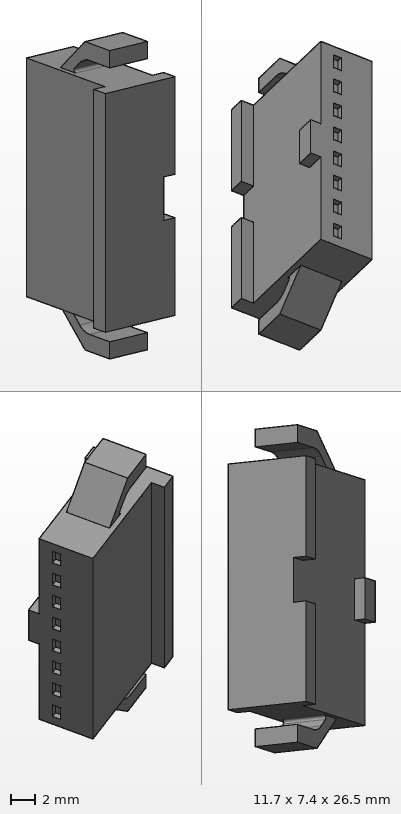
import cadquery as cq
import math

total_depth = 11.7
total_height = 26.5
flange_thickness = 1.5
body_depth = total_depth - flange_thickness
body_width = 5.0
body_height = 20.5
flange_width = 7.4

tab_depth = 1.7
tab_rise = 0.98
tab_height = 3.45
flange_gap_height = 3.74

pocket_count = 8
pocket_pitch = 2.5
pocket_width = 0.75
pocket_height = 1.3
pocket_depth = 0.5
pocket_y = 0.87

latch_width = 4.0
latch_rise = (total_height - body_height) / 2
latch_root_x = 3.82
latch_knee_x = 7.0
latch_tip_thickness = 1.48
latch_root_length = 1.95
latch_bend_radius = 1.85
relief_radius = 0.2
latch_slope_angle = math.atan2(latch_rise, latch_knee_x - latch_root_x)


def make_box(x_start, x_length, y_start, y_length, z_length):
    """Box placed by its low X and Y sides and centred on Z."""
    return (
        cq.Workplane("XY")
        .box(x_length, y_length, z_length, centered=(False, False, True))
        .translate((x_start, y_start, 0))
    )


def make_housing():
    body = make_box(0, body_depth, -body_width / 2, body_width, body_height)
    flange = make_box(body_depth, flange_thickness, -flange_width / 2, flange_width, body_height)
    flange_gap = make_box(
        body_depth, flange_thickness, body_width / 2, flange_width, flange_gap_height
    )
    tab = make_box(0, tab_depth, body_width / 2, tab_rise, tab_height)
    return body.union(flange.cut(flange_gap)).union(tab)


def make_pockets():
    return (
        cq.Workplane("YZ")
        .center(pocket_y, 0)
        .rarray(0.26, pocket_pitch, 1, pocket_count)
        .rect(pocket_width, pocket_height)
        .extrude(pocket_depth)
    )


def make_latch():
    """Latch arm on the +Z end: a sloped root bending into a tip parallel to X."""
    root_z = body_height / 2
    top_z = root_z + latch_rise
    tip_z = top_z - latch_tip_thickness

    relief_x = latch_root_x + latch_root_length
    relief_turn = math.pi / 2 + latch_slope_angle
    relief_floor = 1.5 * math.pi
    relief_centre_z = root_z + relief_radius

    def relief_point(angle):
        return (
            relief_x + relief_radius * math.cos(angle),
            relief_centre_z + relief_radius * math.sin(angle),
        )

    slope_start = relief_point(relief_turn)
    relief_middle = relief_point((relief_turn + relief_floor) / 2)

    corner_x = slope_start[0] + (tip_z - slope_start[1]) / math.tan(latch_slope_angle)
    tangent_length = latch_bend_radius * math.tan(latch_slope_angle / 2)
    bend_start = (
        corner_x - tangent_length * math.cos(latch_slope_angle),
        tip_z - tangent_length * math.sin(latch_slope_angle),
    )
    bend_end = (corner_x + tangent_length, tip_z)
    bend_middle = (
        bend_end[0] - latch_bend_radius * math.sin(latch_slope_angle / 2),
        tip_z - latch_bend_radius * (1 - math.cos(latch_slope_angle / 2)),
    )

    return (
        cq.Workplane("XZ")
        .moveTo(latch_root_x, root_z)
        .lineTo(latch_knee_x, top_z)
        .lineTo(body_depth, top_z)
        .lineTo(body_depth, tip_z)
        .lineTo(*bend_end)
        .threePointArc(bend_middle, bend_start)
        .lineTo(*slope_start)
        .threePointArc(relief_middle, (relief_x, root_z))
        .close()
        .extrude(latch_width / 2, both=True)
    )


upper_latch = make_latch()
lower_latch = upper_latch.mirror("XY")
result = make_housing().union(upper_latch).union(lower_latch).cut(make_pockets())